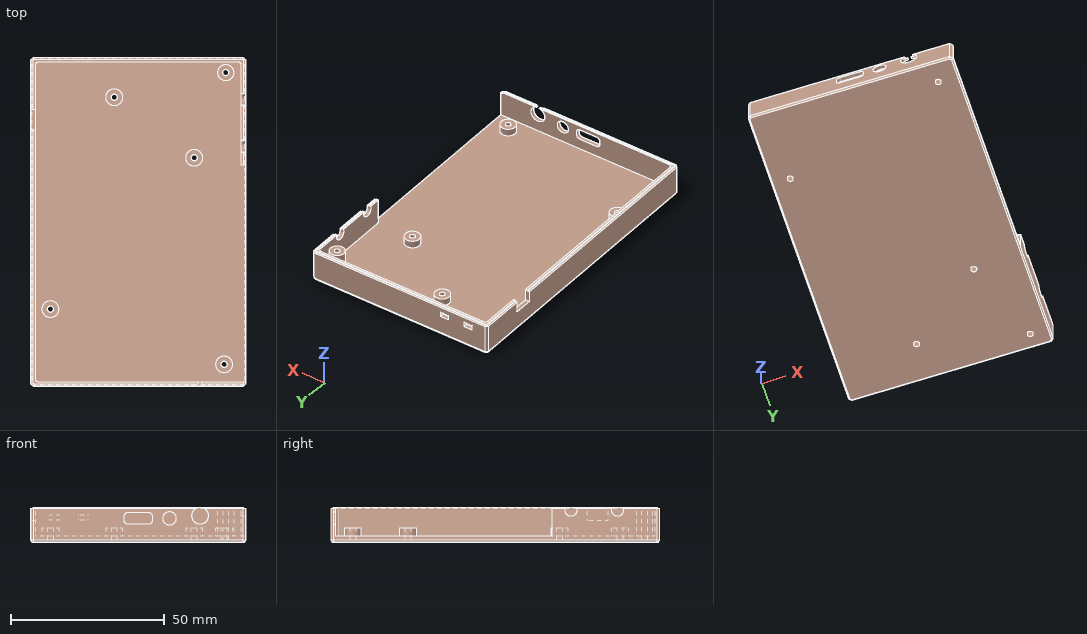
import cadquery as cq
import math

length_x = 70.0
length_y = 107.0
height = 11.3
wall = 1.5
floor_thickness = 2.0
outer_chamfer = 0.9
bottom_chamfer_height = 0.7
bottom_chamfer_inset = 0.48
inner_corner_radius = 1.0
inner_x = length_x - 2 * wall
inner_y = length_y - 2 * wall

lip_height = 0.3
lip_inset = wall / 2
ledge_z = height - lip_height

open_side_end_y = 18.5

low_post_diameter = 5.5
low_post_top = 4.7
tall_post_diameter = 5.2
tall_post_top = height
post_hole_diameter = 1.9
posts = [
    (-7.8, 40.5, low_post_diameter, low_post_top),
    (18.2, 20.9, low_post_diameter, low_post_top),
    (-28.6, -28.4, low_post_diameter, low_post_top),
    (27.9, -46.3, low_post_diameter, low_post_top),
    (28.5, 48.6, tall_post_diameter, tall_post_top),
]

port_z = 7.8
slot_width = 9.2
slot_height = 3.7
slot_corner_radius = 1.2
small_port_diameter = 4.4
small_port_x = 10.2
large_port_diameter = 5.5
large_port_x = 20.1
large_port_z = 8.7

notch_width = 6.7
notch_depth = 4.3
notch_y = 33.3

rim_notch_diameter = 4.0
rim_notch_z = 10.5
rim_notch_y_places = (39.8, 24.6)

window_width = 3.2
window_height = 1.6
window_z = 8.1
window_x_places = (-27.3, -17.9)

overcut = 1.1
wall_cut_length = wall + 2 * overcut


def box_between(x_size, y_size, z_bottom, z_top):
    """Box centred on the Z axis between two heights."""
    return (
        cq.Workplane("XY", origin=(0, 0, z_bottom))
        .rect(x_size, y_size)
        .extrude(z_top - z_bottom)
    )


def outer_outline(inset, z):
    """Outer rectangle with cut corners, with every side moved inward by the inset."""
    half_x = length_x / 2 - inset
    half_y = length_y / 2 - inset
    cut = outer_chamfer - inset * (2 - math.sqrt(2))
    points = [
        (half_x, half_y - cut),
        (half_x - cut, half_y),
        (-half_x + cut, half_y),
        (-half_x, half_y - cut),
        (-half_x, -half_y + cut),
        (-half_x + cut, -half_y),
        (half_x - cut, -half_y),
        (half_x, -half_y + cut),
    ]
    return cq.Workplane("XY", origin=(0, 0, z)).polyline(points).close()


def make_shell():
    """Open tray with a chamfered bottom edge and a stepped rim."""
    bottom_wire = outer_outline(bottom_chamfer_inset, 0).val()
    full_wire = outer_outline(0, bottom_chamfer_height).val()
    foot = cq.Workplane(cq.Solid.makeLoft([bottom_wire, full_wire], True))
    body = outer_outline(0, bottom_chamfer_height).extrude(ledge_z - bottom_chamfer_height)
    lip = box_between(length_x - 2 * lip_inset, length_y - 2 * lip_inset, ledge_z, height)
    cavity = box_between(inner_x, inner_y, floor_thickness, height + overcut)
    cavity = cavity.edges("|Z").fillet(inner_corner_radius)
    return foot.union(body).union(lip).cut(cavity)


def make_side_opening():
    """Cutter for the missing stretch of the +X wall, including the front inner corner."""
    start_x = inner_x / 2 - inner_corner_radius
    start_y = -inner_y / 2
    size_x = length_x / 2 - start_x + overcut
    size_y = open_side_end_y - start_y
    opening = cq.Workplane("XY").box(size_x, size_y, height, centered=False)
    return opening.translate((start_x, start_y, floor_thickness))


def make_post(x, y, diameter, top):
    """Post standing on the floor and rooted in it."""
    root_z = floor_thickness / 2
    return (
        cq.Workplane("XY", origin=(x, y, root_z))
        .circle(diameter / 2)
        .extrude(top - root_z)
    )


def make_post_hole(x, y):
    return (
        cq.Workplane("XY", origin=(x, y, -overcut))
        .circle(post_hole_diameter / 2)
        .extrude(height + 2 * overcut)
    )


def front_plane(x, z):
    """Sketch plane just inside the front wall; extrusions run out through the wall."""
    return cq.Workplane("XZ", origin=(x, -inner_y / 2 + overcut, z))


def make_round_port(x, z, diameter):
    return front_plane(x, z).circle(diameter / 2).extrude(wall_cut_length)


def make_slot_port():
    slot = front_plane(0, port_z).rect(slot_width, slot_height).extrude(wall_cut_length)
    return slot.edges("|Y").fillet(slot_corner_radius)


def make_side_notch():
    """Rectangular cutter through the -X wall, open at the rim."""
    cutter = cq.Workplane("XY").box(wall_cut_length, notch_width, 2 * notch_depth)
    return cutter.translate((-(length_x - wall) / 2, notch_y, height))


def make_rim_notch(y):
    return (
        cq.Workplane("YZ", origin=(inner_x / 2 - overcut, y, rim_notch_z))
        .circle(rim_notch_diameter / 2)
        .extrude(wall_cut_length)
    )


def make_window(x):
    cutter = cq.Workplane("XY").box(window_width, wall_cut_length, window_height)
    return cutter.translate((x, (length_y - wall) / 2, window_z))


result = make_shell().cut(make_side_opening())

for x, y, diameter, top in posts:
    result = result.union(make_post(x, y, diameter, top))
    result = result.cut(make_post_hole(x, y))

result = result.cut(make_slot_port())
result = result.cut(make_round_port(small_port_x, port_z, small_port_diameter))
result = result.cut(make_round_port(large_port_x, large_port_z, large_port_diameter))

result = result.cut(make_side_notch())
for y in rim_notch_y_places:
    result = result.cut(make_rim_notch(y))
for x in window_x_places:
    result = result.cut(make_window(x))